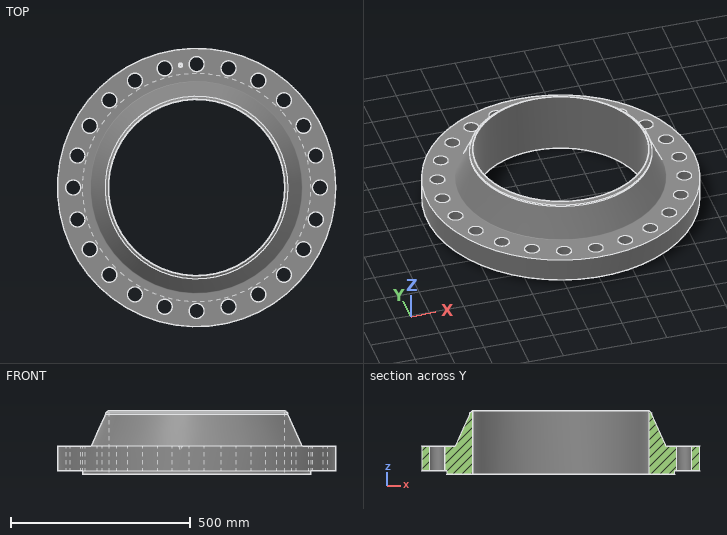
import cadquery as cq
import math


flange_diameter = 774.5
flange_thickness = 69.0
face_diameter = 635.0
face_height = 10.0

total_height = 177.0
bore_diameter = 489.0
hub_base_diameter = 587.0
hub_fillet = 3.0
pipe_diameter = 508.0
land_width = 1.5
bevel_angle = 37.5
pipe_end_length = 5.0

bolt_count = 24
bolt_circle_diameter = 686.0
bolt_hole_diameter = 41.0

marker_hole_diameter = 6.0
marker_countersink_diameter = 12.5
marker_countersink_angle = 90.0
marker_depth = 8.0

flange_top = face_height + flange_thickness
bolt_pitch = 360.0 / bolt_count


def make_body():
    """Revolve the half section of the flange, hub and weld end."""
    bore_radius = bore_diameter / 2
    pipe_radius = pipe_diameter / 2
    land_radius = bore_radius + land_width
    bevel_height = (pipe_radius - land_radius) * math.tan(math.radians(bevel_angle))
    bevel_start = total_height - bevel_height
    taper_top = bevel_start - pipe_end_length

    section = (
        cq.Workplane("XZ")
        .moveTo(bore_radius, 0)
        .lineTo(face_diameter / 2, 0)
        .lineTo(face_diameter / 2, face_height)
        .lineTo(flange_diameter / 2, face_height)
        .lineTo(flange_diameter / 2, flange_top)
        .lineTo(hub_base_diameter / 2, flange_top)
        .lineTo(pipe_radius, taper_top)
        .lineTo(pipe_radius, bevel_start)
        .lineTo(land_radius, total_height)
        .lineTo(bore_radius, total_height)
        .close()
    )
    body = section.revolve(360, (0, 0, 0), (0, 1, 0))

    margin = hub_fillet / 4
    corner_radius = hub_base_diameter / 2
    corner_box = cq.selectors.BoxSelector(
        (-corner_radius - margin, -corner_radius - margin, flange_top - margin),
        (corner_radius + margin, corner_radius + margin, flange_top + margin),
        boundingbox=True,
    )
    return body.edges(corner_box).fillet(hub_fillet)


def drill_bolt_holes(body):
    """Drill the ring of bolt holes through the flange."""
    holes = (
        cq.Workplane("XY")
        .polarArray(bolt_circle_diameter / 2, 0, 360, bolt_count)
        .circle(bolt_hole_diameter / 2)
        .extrude(flange_top)
    )
    return body.cut(holes)


def drill_marker_hole(body):
    """Drill the small hole half a bolt pitch from +Y toward -X, on the bolt circle."""
    angle = math.radians(90 + bolt_pitch / 2)
    radius = bolt_circle_diameter / 2
    return (
        body.copyWorkplane(cq.Workplane("XY", origin=(0, 0, flange_top)))
        .center(radius * math.cos(angle), radius * math.sin(angle))
        .cskHole(marker_hole_diameter, marker_countersink_diameter, marker_countersink_angle, marker_depth)
    )


result = drill_marker_hole(drill_bolt_holes(make_body()))